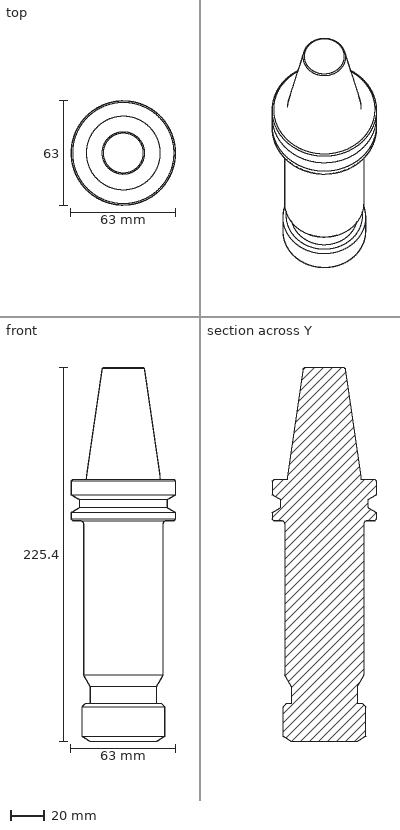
import cadquery as cq
import math


gauge_diameter = 44.45
taper_length = 65.4
taper_ratio = 7 / 24
taper_end_chamfer = 0.8
gauge_land_length = 2.0
land_fillet = 0.5

flange_diameter = 63.0
flange_thickness = 25.0
flange_top_z = -gauge_land_length
flange_bottom_z = flange_top_z - flange_thickness
flange_edge_chamfer = 1.0
groove_floor_diameter = 53.0
groove_floor_width = 4.8
groove_center_depth = 16.7
groove_wall_angle = 30.0

body_diameter = 48.0
body_top_fillet = 2.0
body_end_depth = 120.0
neck_diameter = 40.0
shoulder_length = 6.9

gauge_to_nose = 160.0
nut_diameter = 50.0
nut_length = 23.0
nut_back_chamfer_width = 2.0
nut_back_chamfer_length = 2.0
nut_nose_chamfer_width = 5.0
nut_nose_chamfer_length = 3.2


def turned(profile):
    """Revolve a list of (radius, z) points, closed along the axis, about Z."""
    top_z = profile[0][1]
    bottom_z = profile[-1][1]
    outline = [(0, top_z)] + profile + [(0, bottom_z)]
    return cq.Workplane("XZ").polyline(outline).close().revolve(360, (0, 0, 0), (0, 1, 0))


def taper():
    """Conical shank with a chamfered small end and a short land at its base."""
    gauge_radius = gauge_diameter / 2
    chamfer_z = taper_length - taper_end_chamfer
    chamfer_radius = gauge_radius - chamfer_z * taper_ratio / 2
    return turned([
        (chamfer_radius - taper_end_chamfer, taper_length),
        (chamfer_radius, chamfer_z),
        (gauge_radius, 0),
        (gauge_radius, -gauge_land_length),
    ])


def flange():
    """Flange with chamfered rims and a V-sided, flat-bottomed groove."""
    radius = flange_diameter / 2
    floor_radius = groove_floor_diameter / 2
    wall_length = (radius - floor_radius) * math.tan(math.radians(groove_wall_angle))
    floor_top_z = -groove_center_depth + groove_floor_width / 2
    floor_bottom_z = -groove_center_depth - groove_floor_width / 2
    return turned([
        (radius - flange_edge_chamfer, flange_top_z),
        (radius, flange_top_z - flange_edge_chamfer),
        (radius, floor_top_z + wall_length),
        (floor_radius, floor_top_z),
        (floor_radius, floor_bottom_z),
        (radius, floor_bottom_z - wall_length),
        (radius, flange_bottom_z + flange_edge_chamfer),
        (radius - flange_edge_chamfer, flange_bottom_z),
    ])


def body():
    """Long cylinder tapering down to the neck."""
    radius = body_diameter / 2
    neck_radius = neck_diameter / 2
    return turned([
        (radius, flange_bottom_z),
        (radius, -body_end_depth),
        (neck_radius, -body_end_depth - shoulder_length),
        (neck_radius, -gauge_to_nose + nut_length),
    ])


def collet_nut():
    """Clamping nut, chamfered at the back and at the nose."""
    radius = nut_diameter / 2
    nose_z = -gauge_to_nose
    back_z = nose_z + nut_length
    return turned([
        (radius - nut_back_chamfer_width, back_z),
        (radius, back_z - nut_back_chamfer_length),
        (radius, nose_z + nut_nose_chamfer_length),
        (radius - nut_nose_chamfer_width, nose_z),
    ])


def fillet_circle(solid, diameter, z, fillet_radius):
    """Round the circular edge of the given diameter lying at height z."""
    tolerance = 0.001
    edges = [
        edge
        for edge in solid.edges("%CIRCLE").vals()
        if abs(edge.radius() - diameter / 2) < tolerance and abs(edge.Center().z - z) < tolerance
    ]
    return solid.newObject(edges).fillet(fillet_radius)


result = taper().union(flange()).union(body()).union(collet_nut())
result = fillet_circle(result, gauge_diameter, flange_top_z, land_fillet)
result = fillet_circle(result, body_diameter, flange_bottom_z, body_top_fillet)